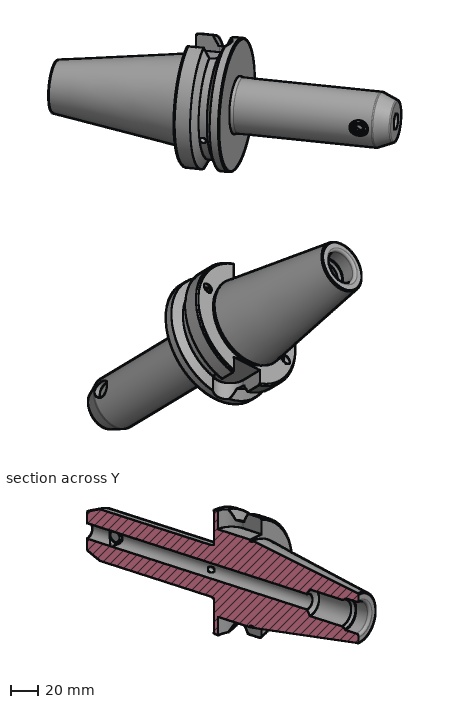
import cadquery as cq
import math

total_length = 261.8

taper_small_radius = 20.2
taper_large_radius = 35.0
taper_length = 101.8
taper_end_chamfer = 0.8
neck_radius = 34.0
neck_start = 102.5

flange_radius = 50.0
flange_start = 104.5
flange_end = 139.8
flange_rear_chamfer = 1.3
flange_front_chamfer = 0.8
groove_floor_radius = 42.5
groove_centre = 125.1
groove_floor_width = 6.3
groove_flank_angle = 30.0

shank_radius = 21.0
shank_root_length = 3.0
shank_root_rise = 0.8
nose_start = 249.2
nose_tip_radius = 15.7
nose_fillet = 1.3
nose_shoulder_fillet = 2.5

bore_radius = 6.0
mouth_fillet = 2.4
pilot_radius = 12.5
pilot_depth = 13.0
thread_radius = 10.5
thread_depth = 47.0
thread_lead_in_radius = 11.8
thread_lead_in_length = 3.1
drill_tip_angle = 59.0

slot_width = 26.0
slot_floor_height = 35.3
slot_end = 135.5

coolant_angle = 20.0
coolant_face_radius = 41.5
coolant_mouth_diameter = 6.3
coolant_mouth_depth = 2.4
coolant_diameter = 4.2
coolant_slant = 40.0
cross_hole_diameter = 5.0
cross_hole_position = 124.5

screw_position = 239.0
screw_diameter = 12.0
screw_mouth_diameter = 14.1
screw_length = 16.0
screw_chamfer = 1.5
socket_width = 6.0
socket_depth = 5.2
socket_mouth_diameter = 7.9
socket_mouth_depth = 0.8

balance_position = 241.6
balance_diameter = 13.5
balance_depth = 5.2


def outer_profile():
    flank = (flange_radius - groove_floor_radius) * math.tan(math.radians(groove_flank_angle))
    floor_start = groove_centre - groove_floor_width / 2
    floor_end = groove_centre + groove_floor_width / 2
    return (
        cq.Workplane("XZ")
        .moveTo(0, 0)
        .lineTo(0, taper_small_radius - taper_end_chamfer)
        .lineTo(taper_end_chamfer, taper_small_radius)
        .lineTo(taper_length, taper_large_radius)
        .lineTo(neck_start, neck_radius)
        .lineTo(flange_start, neck_radius)
        .lineTo(flange_start, flange_radius - flange_rear_chamfer)
        .lineTo(flange_start + flange_rear_chamfer, flange_radius)
        .lineTo(floor_start - flank, flange_radius)
        .lineTo(floor_start, groove_floor_radius)
        .lineTo(floor_end, groove_floor_radius)
        .lineTo(floor_end + flank, flange_radius)
        .lineTo(flange_end - flange_front_chamfer, flange_radius)
        .lineTo(flange_end, flange_radius - flange_front_chamfer)
        .lineTo(flange_end, shank_radius + shank_root_rise)
        .lineTo(flange_end + shank_root_length, shank_radius)
        .lineTo(nose_start, shank_radius)
        .lineTo(total_length, nose_tip_radius)
        .lineTo(total_length, 0)
        .close()
    )


def holder_blank():
    blank = outer_profile().revolve(360, (0, 0, 0), (1, 0, 0))
    shoulder = cq.selectors.NearestToPointSelector((nose_start, 0, -shank_radius))
    blank = blank.edges("%CIRCLE").edges(shoulder).fillet(nose_shoulder_fillet)
    return blank.faces(">X").edges().fillet(nose_fillet)


def axial_bore():
    tip_length = (thread_radius - bore_radius) / math.tan(math.radians(drill_tip_angle))
    return (
        cq.Workplane("XZ")
        .moveTo(0, 0)
        .lineTo(0, pilot_radius + mouth_fillet)
        .radiusArc((mouth_fillet, pilot_radius), -mouth_fillet)
        .lineTo(pilot_depth, pilot_radius)
        .lineTo(pilot_depth, thread_lead_in_radius)
        .lineTo(pilot_depth + thread_lead_in_length, thread_radius)
        .lineTo(thread_depth, thread_radius)
        .lineTo(thread_depth + tip_length, bore_radius)
        .lineTo(total_length, bore_radius)
        .lineTo(total_length, 0)
        .close()
        .revolve(360, (0, 0, 0), (1, 0, 0))
    )


def drive_slot():
    """Round-ended slot in the +Z side of the flange, open towards the taper."""
    end_centre = slot_end - slot_width / 2
    return (
        cq.Workplane("XY", origin=(0, 0, slot_floor_height))
        .moveTo(taper_length, slot_width / 2)
        .lineTo(end_centre, slot_width / 2)
        .threePointArc((slot_end, 0), (end_centre, -slot_width / 2))
        .lineTo(taper_length, -slot_width / 2)
        .close()
        .extrude(flange_radius - slot_floor_height)
    )


def rod(start, direction, diameter, length):
    cylinder = cq.Solid.makeCylinder(diameter / 2, length, cq.Vector(*start), cq.Vector(*direction))
    return cq.Workplane(cylinder)


def y_cone(position, y, mouth_diameter, inner_diameter, depth):
    """Cone along +Y that narrows from its mouth at the given y."""
    base = cq.Vector(position, y, 0)
    cone = cq.Solid.makeCone(mouth_diameter / 2, inner_diameter / 2, depth, base, cq.Vector(0, 1, 0))
    return cq.Workplane(cone)


def coolant_passage():
    """Slanted hole from the flange face to the bore, joined by a radial hole from the groove floor."""
    slant = math.radians(coolant_slant)
    direction = (math.cos(slant), -math.sin(slant), 0)
    drilling = rod(
        (flange_start, coolant_face_radius, 0),
        direction,
        coolant_diameter,
        coolant_face_radius / math.sin(slant),
    )
    lead = coolant_mouth_diameter
    outside = (flange_start - lead * direction[0], coolant_face_radius - lead * direction[1], 0)
    mouth = rod(outside, direction, coolant_mouth_diameter, lead + coolant_mouth_depth)
    meeting_radius = coolant_face_radius - (cross_hole_position - flange_start) * math.tan(slant)
    radial = rod(
        (cross_hole_position, meeting_radius, 0),
        (0, 1, 0),
        cross_hole_diameter,
        flange_radius - meeting_radius,
    )
    return drilling.union(mouth).union(radial).rotate((0, 0, 0), (1, 0, 0), coolant_angle)


def screw_hole():
    drilling = rod((screw_position, -shank_radius, 0), (0, 1, 0), screw_diameter, shank_radius)
    chamfer_depth = (screw_mouth_diameter - screw_diameter) / 2
    chamfer = y_cone(screw_position, -shank_radius, screw_mouth_diameter, screw_diameter, chamfer_depth)
    return drilling.union(chamfer)


def balance_hole():
    return rod((balance_position, shank_radius, 0), (0, -1, 0), balance_diameter, balance_depth)


def make_holder():
    body = holder_blank().cut(axial_bore()).cut(screw_hole()).cut(balance_hole())
    for half_turn in (0, 180):
        for feature in (drive_slot(), coolant_passage()):
            body = body.cut(feature.rotate((0, 0, 0), (1, 0, 0), half_turn))
    return body


def make_screw():
    """Headless socket screw, its outer end level with the shank surface."""
    head_y = -shank_radius
    body = rod((screw_position, head_y, 0), (0, 1, 0), screw_diameter, screw_length)
    body = body.faces("<Y or >Y").chamfer(screw_chamfer)
    socket = (
        cq.Workplane("XZ", origin=(screw_position, head_y, 0))
        .polygon(6, socket_width, circumscribed=True)
        .extrude(-socket_depth)
    )
    socket_mouth = y_cone(screw_position, head_y, socket_mouth_diameter, socket_width, socket_mouth_depth)
    return body.cut(socket).cut(socket_mouth)


holder = make_holder()
screw = make_screw()
result = cq.Compound.makeCompound([holder.solids().val(), screw.solids().val()])